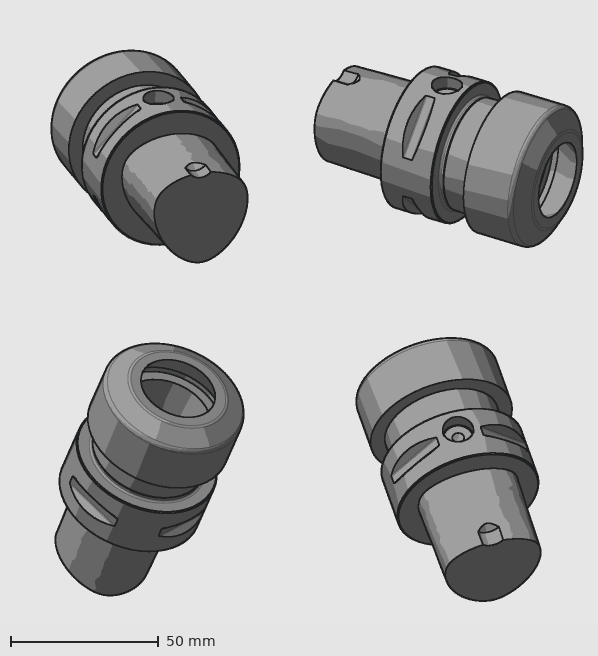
import math

import cadquery as cq


CUT_MARGIN = 1.0

NUT_FRONT_X = -55.0
NUT_LENGTH = 22.6
NUT_DIAMETER = 50.0
NUT_FACE_DIAMETER = 34.8
NUT_NOSE_HALF_ANGLE = 60.0
NUT_EDGE_RADIUS = 2.0

NECK_DIAMETER = 40.0
RELIEF_DIAMETER = 39.8
RELIEF_START_X = -22.0
RELIEF_CHAMFER_LENGTH = 0.3

FLANGE_DIAMETER = 50.0
FLANGE_FRONT_X = -20.0
FLANGE_CHAMFER = 0.4
FLANGE_ROOT_RADIUS = 0.7

MOUTH_DIAMETER = 26.4
NUT_CONE_HALF_ANGLE = 30.0
NUT_BORE_DIAMETER = 38.5
COLLET_SEAT_DEPTH = 12.6
COLLET_SEAT_DIAMETER = 31.2
COLLET_SEAT_HALF_ANGLE = 8.0
BORE_DIAMETER = 23.5
BORE_DEPTH = 48.0
BORE_FLOOR_RADIUS = 0.85

GROOVE_X = -10.0
GROOVE_FLOOR_WIDTH = 3.5
GROOVE_TOP_WIDTH = 7.0
GROOVE_FLOOR_RADIUS = 0.4
GROOVE_FLOOR_HEIGHT = 22.3
GROOVE_ANGLES = (45.0, 135.0, 225.0, 315.0)

POCKET_X = -12.1
POCKET_DIAMETER = 10.4
POCKET_CHAMFER = 0.2
POCKET_FLOOR_HEIGHT = 20.0
DIMPLE_DIAMETER = 4.0
DIMPLE_HALF_ANGLE = 59.0

SHANK_LENGTH = 30.0
SHANK_BASE_RADIUS = 17.6
SHANK_TAPER = 1 / 20
SHANK_LOBE_HEIGHT = 1.1
SHANK_LOBES = 3
SHANK_POINTS = 48

SLOT_DIAMETER = 10.0
SLOT_LENGTH = 5.6
SLOT_AXIS_HEIGHT = 19.0
SLOT_TIP_HALF_ANGLE = 40.0


def revolve(profile):
    """Solid of revolution about X from (x, radius) points."""
    return cq.Workplane("XY").polyline(profile).close().revolve(360, (0, 0, 0), (1, 0, 0))


def cone_length(large_diameter, small_diameter, half_angle):
    """Axial length of a cone between two diameters."""
    return (large_diameter - small_diameter) / 2 / math.tan(math.radians(half_angle))


def nut():
    radius = NUT_DIAMETER / 2
    face_radius = NUT_FACE_DIAMETER / 2
    nose_length = cone_length(NUT_DIAMETER, NUT_FACE_DIAMETER, NUT_NOSE_HALF_ANGLE)
    profile = [
        (NUT_FRONT_X, 0),
        (NUT_FRONT_X, face_radius),
        (NUT_FRONT_X + nose_length, radius),
        (NUT_FRONT_X + NUT_LENGTH, radius),
        (NUT_FRONT_X + NUT_LENGTH, 0),
    ]
    nose_edges = revolve(profile).edges("%CIRCLE").edges("not >X")
    return nose_edges.fillet(NUT_EDGE_RADIUS)


def neck_and_flange():
    neck = NECK_DIAMETER / 2
    relief = RELIEF_DIAMETER / 2
    flange = FLANGE_DIAMETER / 2
    root = FLANGE_ROOT_RADIUS
    nut_rear_x = NUT_FRONT_X + NUT_LENGTH
    arc_offset = root * math.cos(math.radians(45))
    return (
        cq.Workplane("XY")
        .moveTo(nut_rear_x, 0)
        .lineTo(nut_rear_x, neck)
        .lineTo(RELIEF_START_X, neck)
        .lineTo(RELIEF_START_X + RELIEF_CHAMFER_LENGTH, relief)
        .lineTo(FLANGE_FRONT_X - root, relief)
        .threePointArc(
            (FLANGE_FRONT_X - root + arc_offset, relief + root - arc_offset),
            (FLANGE_FRONT_X, relief + root),
        )
        .lineTo(FLANGE_FRONT_X, flange - FLANGE_CHAMFER)
        .lineTo(FLANGE_FRONT_X + FLANGE_CHAMFER, flange)
        .lineTo(-FLANGE_CHAMFER, flange)
        .lineTo(0, flange - FLANGE_CHAMFER)
        .lineTo(0, 0)
        .close()
        .revolve(360, (0, 0, 0), (1, 0, 0))
    )


def collet_bore():
    """Nut cone, nut bore, tapered collet seat and blind rear bore."""
    bore = BORE_DIAMETER / 2
    nut_cone_end = NUT_FRONT_X + cone_length(NUT_BORE_DIAMETER, MOUTH_DIAMETER, NUT_CONE_HALF_ANGLE)
    seat_start = NUT_FRONT_X + COLLET_SEAT_DEPTH
    seat_end = seat_start + cone_length(COLLET_SEAT_DIAMETER, BORE_DIAMETER, COLLET_SEAT_HALF_ANGLE)
    floor = NUT_FRONT_X + BORE_DEPTH
    cutter = revolve([
        (NUT_FRONT_X, 0),
        (NUT_FRONT_X, MOUTH_DIAMETER / 2),
        (nut_cone_end, NUT_BORE_DIAMETER / 2),
        (seat_start, NUT_BORE_DIAMETER / 2),
        (seat_start, COLLET_SEAT_DIAMETER / 2),
        (seat_end, bore),
        (floor, bore),
        (floor, 0),
    ])
    return cutter.faces(">X").edges().fillet(BORE_FLOOR_RADIUS)


def gripper_groove(angle):
    """Flat-bottomed groove with flared sides, cut as a chord across the flange."""
    flange = FLANGE_DIAMETER / 2
    slope = (GROOVE_TOP_WIDTH - GROOVE_FLOOR_WIDTH) / 2 / (flange - GROOVE_FLOOR_HEIGHT)
    top = flange + CUT_MARGIN
    half_floor = GROOVE_FLOOR_WIDTH / 2
    half_top = half_floor + slope * (top - GROOVE_FLOOR_HEIGHT)
    return (
        cq.Workplane("XZ")
        .polyline([
            (GROOVE_X - half_floor, GROOVE_FLOOR_HEIGHT),
            (GROOVE_X + half_floor, GROOVE_FLOOR_HEIGHT),
            (GROOVE_X + half_top, top),
            (GROOVE_X - half_top, top),
        ])
        .close()
        .extrude(flange, both=True)
        .edges("<Z")
        .fillet(GROOVE_FLOOR_RADIUS)
        .rotate((0, 0, 0), (1, 0, 0), angle)
    )


def pocket():
    """Radial blind hole with a conical dimple in its floor."""
    radius = POCKET_DIAMETER / 2
    dimple = DIMPLE_DIAMETER / 2
    dimple_depth = cone_length(DIMPLE_DIAMETER, 0, DIMPLE_HALF_ANGLE)
    top = FLANGE_DIAMETER / 2 + CUT_MARGIN
    return (
        cq.Workplane("XZ")
        .polyline([
            (0, top),
            (radius, top),
            (radius, POCKET_FLOOR_HEIGHT + POCKET_CHAMFER),
            (radius - POCKET_CHAMFER, POCKET_FLOOR_HEIGHT),
            (dimple, POCKET_FLOOR_HEIGHT),
            (0, POCKET_FLOOR_HEIGHT - dimple_depth),
        ])
        .close()
        .revolve(360, (0, 0, 0), (0, 1, 0))
        .translate((POCKET_X, 0, 0))
    )


def lobed_outline(x):
    """Closed outline of constant width at station x, with one lobe pointing to -Z."""
    mean_radius = SHANK_BASE_RADIUS - x * SHANK_TAPER / 2

    def outline_point(normal_angle):
        reach = mean_radius + SHANK_LOBE_HEIGHT * math.sin(SHANK_LOBES * normal_angle)
        reach_rate = SHANK_LOBES * SHANK_LOBE_HEIGHT * math.cos(SHANK_LOBES * normal_angle)
        return (
            reach * math.cos(normal_angle) - reach_rate * math.sin(normal_angle),
            reach * math.sin(normal_angle) + reach_rate * math.cos(normal_angle),
        )

    points = [outline_point(2 * math.pi * i / SHANK_POINTS) for i in range(SHANK_POINTS)]
    return cq.Workplane("YZ", origin=(x, 0, 0)).spline(points, periodic=True).close().val()


def shank():
    outlines = [lobed_outline(0), lobed_outline(SHANK_LENGTH)]
    return cq.Workplane(cq.Solid.makeLoft(outlines, ruled=True))


def drive_slot():
    """Round-bottomed slot along X with a conical run-out."""
    radius = SLOT_DIAMETER / 2
    start = SHANK_LENGTH - SLOT_LENGTH
    tip = start - cone_length(SLOT_DIAMETER, 0, SLOT_TIP_HALF_ANGLE)
    return revolve([
        (tip, 0),
        (start, radius),
        (SHANK_LENGTH + CUT_MARGIN, radius),
        (SHANK_LENGTH + CUT_MARGIN, 0),
    ]).translate((0, 0, SLOT_AXIS_HEIGHT))


result = nut().union(neck_and_flange()).union(shank())
result = result.cut(collet_bore()).cut(pocket()).cut(drive_slot())
for groove_angle in GROOVE_ANGLES:
    result = result.cut(gripper_groove(groove_angle))